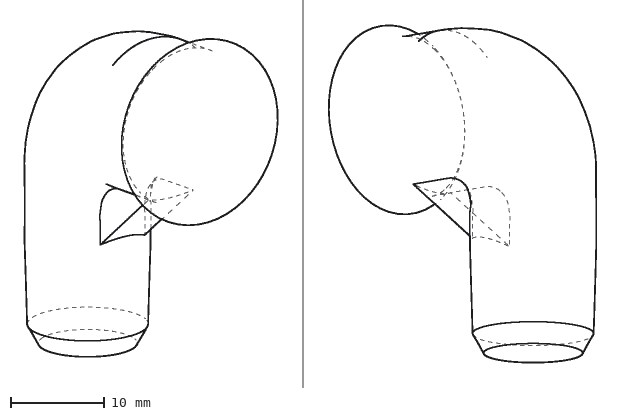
import cadquery as cq
import math


spigot_radius = 6.75
spigot_tip_radius = 6.5
spigot_nose_radius = 5.3
nose_height = 2.15
taper_top = 11.2
elbow_start_z = 15.47

socket_radius = 8.67
socket_axis_z = 28.0
elbow_end_x = 11.5
socket_end_x = 21.05

bead_radius = 1.6
bead_outer_radius = 10.2
bead_center_x = socket_end_x - bead_radius
bead_center_r = bead_outer_radius - bead_radius
neck_start_x = 16.45

outer_bend_radius = 17.4
inner_bend_radius = 2.85
bend_steps = 6

gusset_thickness = 6.05
gusset_low_x = 6.07
gusset_low_z = 12.9
gusset_high_x = 14.5
gusset_high_z = 19.95


def make_spigot():
    """Chamfered nose, slight taper and straight collar, turned about Z."""
    return (
        cq.Workplane("XZ")
        .moveTo(0, 0)
        .lineTo(spigot_nose_radius, 0)
        .lineTo(spigot_tip_radius, nose_height)
        .lineTo(spigot_radius, taper_top)
        .lineTo(spigot_radius, elbow_start_z)
        .lineTo(0, elbow_start_z)
        .close()
        .revolve(360, (0, 0, 0), (0, 1, 0))
    )


def bend_point(radius, angle, wall_x, wall_z):
    """Point (x, z) on the arc that rounds the corner between a vertical and a horizontal wall."""
    return (
        wall_x + radius * (1 - math.cos(angle)),
        wall_z - radius * (1 - math.sin(angle)),
    )


def elbow_section(outer_point, inner_point, half_width):
    """Ellipse reaching from a point of the outer bend to one of the inner bend."""
    outer_x, outer_z = outer_point
    inner_x, inner_z = inner_point
    across_x = outer_x - inner_x
    across_z = outer_z - inner_z
    plane = cq.Plane(
        origin=((outer_x + inner_x) / 2, 0, (outer_z + inner_z) / 2),
        xDir=(across_x, 0, across_z),
        normal=(across_z, 0, -across_x),
    )
    half_depth = math.hypot(across_x, across_z) / 2
    return cq.Workplane(plane).ellipse(half_depth, half_width).wire().val()


def make_elbow():
    """Quarter bend that widens evenly from the spigot to the socket."""
    socket_top_z = socket_axis_z + socket_radius
    socket_bottom_z = socket_axis_z - socket_radius

    spigot_end = elbow_section((-spigot_radius, elbow_start_z), (spigot_radius, elbow_start_z), spigot_radius)
    socket_end = elbow_section((elbow_end_x, socket_top_z), (elbow_end_x, socket_bottom_z), socket_radius)

    bend_sections = []
    for step in range(bend_steps + 1):
        turned = step / bend_steps
        angle = turned * math.pi / 2
        outer_point = bend_point(outer_bend_radius, angle, -spigot_radius, socket_top_z)
        inner_point = bend_point(inner_bend_radius, angle, spigot_radius, socket_bottom_z)
        half_width = spigot_radius + turned * (socket_radius - spigot_radius)
        bend_sections.append(elbow_section(outer_point, inner_point, half_width))

    sections = [spigot_end, *bend_sections, socket_end]
    return cq.Workplane(cq.Solid.makeLoft(sections))


def make_socket():
    """Straight socket, concave neck and rounded bead, turned about the socket axis."""
    neck_to_bead = bead_center_x - neck_start_x
    wall_above_bead_center = socket_radius - bead_center_r
    neck_radius = (neck_to_bead**2 + wall_above_bead_center**2 - bead_radius**2) / (
        2 * (bead_radius - wall_above_bead_center)
    )
    neck_center_r = socket_radius + neck_radius
    tangent_angle = math.atan2(neck_center_r - bead_center_r, neck_to_bead)
    tangent_x = bead_center_x - bead_radius * math.cos(tangent_angle)
    tangent_r = bead_center_r + bead_radius * math.sin(tangent_angle)

    profile = (
        cq.Workplane("XZ", origin=(0, 0, socket_axis_z))
        .moveTo(elbow_end_x, 0)
        .lineTo(elbow_end_x, socket_radius)
        .lineTo(neck_start_x, socket_radius)
        .radiusArc((tangent_x, tangent_r), -neck_radius)
        .radiusArc((bead_center_x, bead_outer_radius), bead_radius)
        .radiusArc((socket_end_x, bead_center_r), bead_radius)
        .lineTo(socket_end_x, 0)
        .close()
    )
    return profile.revolve(360, (0, 0, 0), (1, 0, 0))


def make_gusset():
    """Flat web whose sloping edge joins the spigot to the underside of the socket."""
    return (
        cq.Workplane("XZ")
        .moveTo(0, gusset_low_z)
        .lineTo(gusset_low_x, gusset_low_z)
        .lineTo(gusset_high_x, gusset_high_z)
        .lineTo(gusset_high_x, socket_axis_z)
        .lineTo(0, socket_axis_z)
        .close()
        .extrude(gusset_thickness / 2, both=True)
    )


result = make_spigot().union(make_elbow()).union(make_socket()).union(make_gusset())